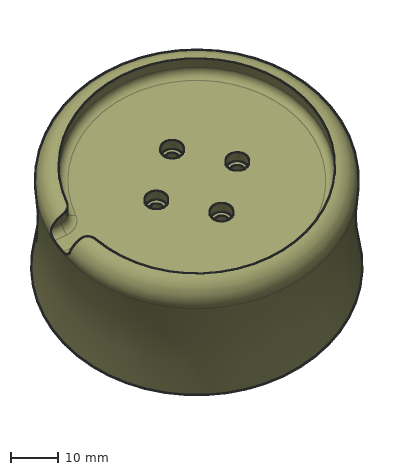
import cadquery as cq
import math

height = 34.15
base_radius = 35.0
base_chamfer_width = 1.95
base_chamfer_height = 0.4
pocket_radius = 29.2
rim_radius = 5.05
side_lean = math.radians(6.5)

pocket_depth = 5.0
floor_fillet = 1.95
notch_width = 7.5
notch_corner_radius = 2.5

hole_circle_radius = 10.0
hole_count = 4
hole_diameter = 3.0
counterbore_diameter = 5.05
counterbore_depth = 3.0

floor_z = height - pocket_depth


def make_body():
    """Solid drum with a rounded rim and a waisted side wall tangent to it."""
    rim_center_z = height - rim_radius

    def rim_point(angle):
        return (
            pocket_radius + rim_radius * math.cos(angle),
            rim_center_z + rim_radius * math.sin(angle),
        )

    profile = (
        cq.Workplane("XZ")
        .lineTo(0, height)
        .lineTo(pocket_radius, height)
        .threePointArc(rim_point(math.pi / 4), rim_point(-side_lean))
        .tangentArcPoint((base_radius, base_chamfer_height), relative=False)
        .lineTo(base_radius - base_chamfer_width, 0)
        .close()
    )
    return profile.revolve(360, (0, 0, 0), (0, 1, 0))


def make_pocket():
    """Volume removed by the pocket and its notch, rounded along the floor."""
    disc = cq.Workplane("XY", origin=(0, 0, floor_z)).circle(pocket_radius).extrude(pocket_depth)
    notch_length = base_radius
    notch = (
        cq.Workplane("XY", origin=(0, -notch_length / 2, floor_z))
        .rect(notch_width, notch_length)
        .extrude(pocket_depth)
    )
    notch_mouth_y = -math.sqrt(pocket_radius**2 - (notch_width / 2) ** 2)
    edge_margin = 0.7
    mouth_edges = cq.selectors.BoxSelector(
        (-notch_width, notch_mouth_y - edge_margin, floor_z - edge_margin),
        (notch_width, notch_mouth_y + edge_margin, height + edge_margin),
    )
    pocket = disc.union(notch)
    pocket = pocket.edges("|Z").edges(mouth_edges).fillet(notch_corner_radius)
    return pocket.faces("<Z").edges("not(<Y)").fillet(floor_fillet)


def drill_holes(body):
    """Counterbored holes spaced evenly about the axis, through the pocket floor."""
    return (
        body.copyWorkplane(cq.Workplane("XY", origin=(0, 0, floor_z)))
        .polarArray(hole_circle_radius, 0, 360, hole_count)
        .cboreHole(hole_diameter, counterbore_diameter, counterbore_depth)
    )


result = drill_holes(make_body().cut(make_pocket()))